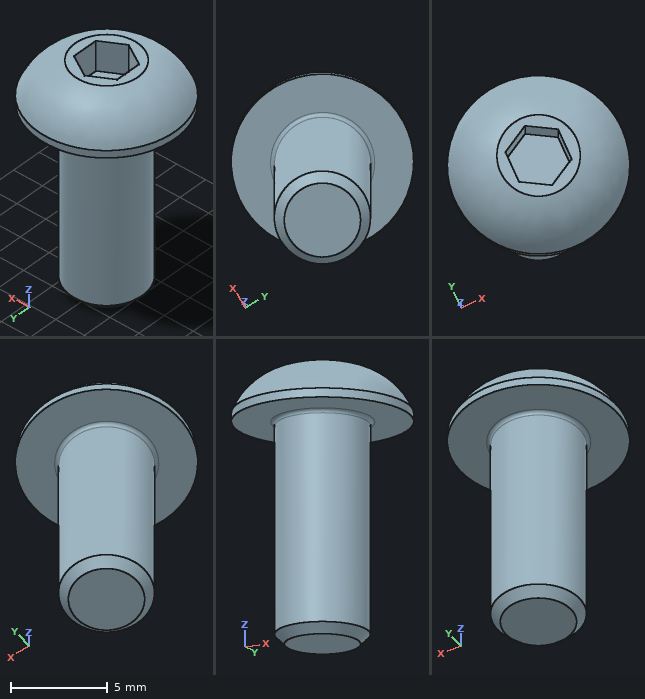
import cadquery as cq
import math

total_length = 14.75
head_diameter = 9.5
head_height = 2.75
shank_diameter = 5.0

rim_height = 0.49
crown_flat_diameter = 4.34
dome_bulge = 0.4

tip_chamfer = 0.52
neck_fillet = 0.2

socket_across_flats = 3.0
socket_depth = 1.99

head_radius = head_diameter / 2
shank_radius = shank_diameter / 2
crown_radius = crown_flat_diameter / 2
head_base_z = total_length - head_height
rim_top_z = head_base_z + rim_height


def make_body():
    """Revolve the half profile of head and shank about Z."""
    dome_run = head_radius - crown_radius
    dome_rise = total_length - rim_top_z
    chord = math.hypot(dome_run, dome_rise)
    dome_middle = (
        (head_radius + crown_radius) / 2 + dome_bulge * dome_rise / chord,
        (rim_top_z + total_length) / 2 + dome_bulge * dome_run / chord,
    )
    fillet_inset = neck_fillet * (1 - math.sqrt(0.5))
    profile = (
        cq.Workplane("XZ")
        .lineTo(shank_radius - tip_chamfer, 0)
        .lineTo(shank_radius, tip_chamfer)
        .lineTo(shank_radius, head_base_z - neck_fillet)
        .threePointArc(
            (shank_radius + fillet_inset, head_base_z - fillet_inset),
            (shank_radius + neck_fillet, head_base_z),
        )
        .lineTo(head_radius, head_base_z)
        .lineTo(head_radius, rim_top_z)
        .threePointArc(dome_middle, (crown_radius, total_length))
        .lineTo(0, total_length)
        .close()
    )
    return profile.revolve(360, (0, 0, 0), (0, 1, 0))


def make_socket():
    """Hexagonal prism sunk from the top of the head."""
    across_corners = socket_across_flats / math.cos(math.pi / 6)
    return (
        cq.Workplane("XY", origin=(0, 0, total_length - socket_depth))
        .transformed(rotate=(0, 0, 90))
        .polygon(6, across_corners)
        .extrude(socket_depth)
    )


result = make_body().cut(make_socket())